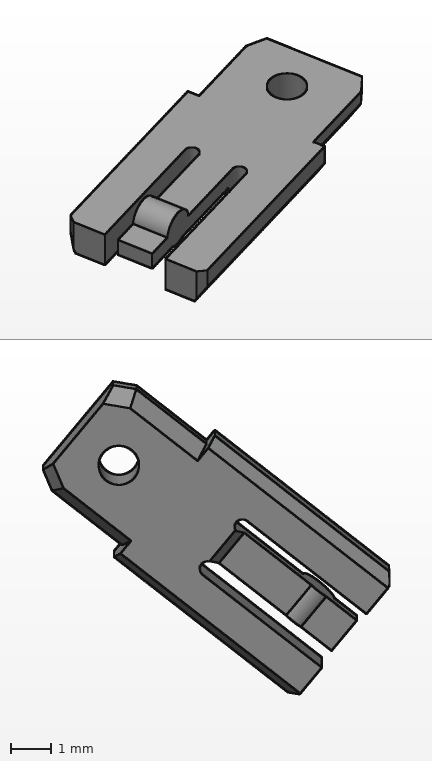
import cadquery as cq
import math

length = 8.5
width = 4.0
thickness = 1.0
total_height = 1.45
tab_width = 3.35
tab_length = 2.75
shoulder_y = length - tab_length

front_cut_x = 0.2
front_cut_y = 0.18
tab_cut_x = 0.28
tab_cut_y = 0.51

bevel_angle = math.radians(30)
body_bevel_height = 0.45
tab_bevel_height = 0.61

hole_diameter = 1.0
hole_y = 7.2
tongue_width = 1.0
slot_width = 0.38
slot_end_y = 4.0
relief_height = 0.51
relief_end_y = 3.89

latch_radius = 0.5
latch_y = 1.215
latch_axis_z = total_height - latch_radius


def bevel_cutter(start, end, bevel_height):
    """Triangular prism along a lower edge; material lies left of start -> end."""
    run_x = end[0] - start[0]
    run_y = end[1] - start[1]
    edge_length = math.hypot(run_x, run_y)
    bevel_depth = bevel_height * math.tan(bevel_angle)
    inward = (-run_y / edge_length, run_x / edge_length, 0)
    along = (run_x / edge_length, run_y / edge_length, 0)
    plane = cq.Plane(origin=(start[0], start[1], 0), xDir=inward, normal=along)
    up = plane.yDir.z
    profile = [(0, 0), (bevel_depth, 0), (0, up * bevel_height)]
    return cq.Workplane(plane).polyline(profile).close().extrude(edge_length)


def make_body():
    half = width / 2
    body = (
        cq.Workplane("XY")
        .polyline([
            (-half + front_cut_x, 0),
            (half - front_cut_x, 0),
            (half, front_cut_y),
            (half, shoulder_y),
            (-half, shoulder_y),
            (-half, front_cut_y),
        ])
        .close()
        .extrude(thickness)
    )
    right_bevel = bevel_cutter((half, 0), (half, shoulder_y), body_bevel_height)
    return body.cut(right_bevel).cut(right_bevel.mirror("YZ"))


def make_tab():
    half = tab_width / 2
    corner_y = length - tab_cut_y
    tab = (
        cq.Workplane("XY")
        .polyline([
            (-half, shoulder_y),
            (half, shoulder_y),
            (half, corner_y),
            (half - tab_cut_x, length),
            (-half + tab_cut_x, length),
            (-half, corner_y),
        ])
        .close()
        .extrude(thickness)
    )
    cut_end = (half - 2 * tab_cut_x, length + tab_cut_y)
    bevels = [
        bevel_cutter((half, shoulder_y), (half, corner_y), tab_bevel_height),
        bevel_cutter((half, corner_y), cut_end, tab_bevel_height),
    ]
    for bevel in bevels:
        tab = tab.cut(bevel).cut(bevel.mirror("YZ"))
    return tab


def make_slot(side):
    """Round-ended slot through the plate, open at the front."""
    radius = slot_width / 2
    centre_x = side * (tongue_width + slot_width) / 2
    arc_y = slot_end_y - radius
    return (
        cq.Workplane("XY")
        .moveTo(centre_x - radius, 0)
        .lineTo(centre_x - radius, arc_y)
        .threePointArc((centre_x, slot_end_y), (centre_x + radius, arc_y))
        .lineTo(centre_x + radius, 0)
        .close()
        .extrude(thickness)
    )


def make_tongue_relief():
    """Space below the thin tongue, with a sloped wall where it joins the plate."""
    relief_width = tongue_width + slot_width
    slope_run = relief_height * math.tan(bevel_angle)
    return (
        cq.Workplane("YZ")
        .polyline([
            (0, 0),
            (relief_end_y, 0),
            (relief_end_y - slope_run, relief_height),
            (0, relief_height),
        ])
        .close()
        .extrude(relief_width / 2, both=True)
    )


def make_latch():
    return (
        cq.Workplane("YZ")
        .center(latch_y, latch_axis_z)
        .circle(latch_radius)
        .extrude(tongue_width / 2, both=True)
    )


result = make_body().union(make_tab())

hole = cq.Workplane("XY").center(0, hole_y).circle(hole_diameter / 2).extrude(thickness)
result = result.cut(hole)

for slot_side in (-1, 1):
    result = result.cut(make_slot(slot_side))

result = result.cut(make_tongue_relief()).union(make_latch())